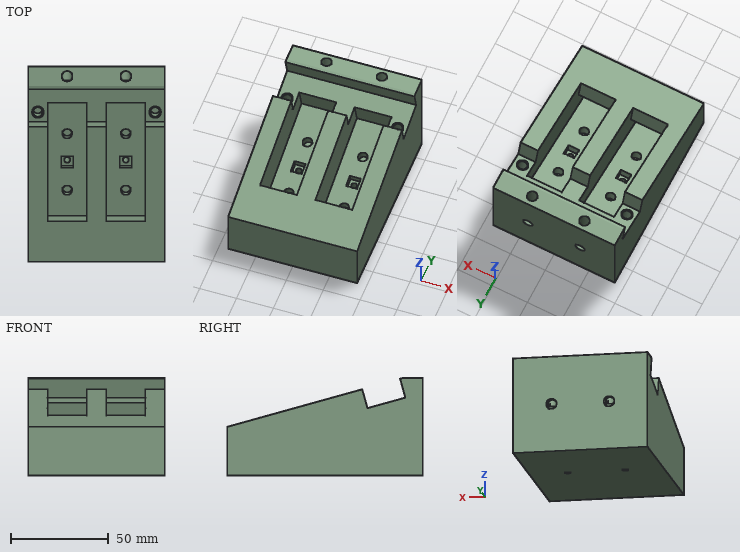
import cadquery as cq
import math

width = 70.0
wedge_length = 90.0
wall_thickness = 10.0
front_height = 25.0
wall_height = 50.02
block_length = wedge_length + wall_thickness

slope_angle = math.degrees(math.atan2(wall_height - front_height, wedge_length))
slope_length = math.hypot(wedge_length, wall_height - front_height)
slope_middle = slope_length / 2

cavity_spacing = 30.0
cavity_width = 20.0
cavity_length = 70.0
cavity_floor_depth = 23.0
opening_depth = 10.0
front_overhang = 10.0
cavity_rear = slope_middle + cavity_length / 2
opening_length = cavity_length - front_overhang
opening_middle = cavity_rear - opening_length / 2

notch_width = 20.0
notch_depth = 10.0
notch_middle = cavity_rear
notch_front = notch_middle - notch_width / 2

blind_hole_diameter = 5.0
blind_hole_depth = 5.0
blind_hole_spacing = 30.0
recess_size = 6.0
recess_depth = 4.0
wire_hole_diameter = 3.0

notch_hole_diameter = 5.0
notch_hole_mouth_diameter = 6.0
notch_hole_mouth_depth = 0.5
notch_hole_depth = 7.0
notch_hole_spacing = 60.0
notch_hole_setback = 5.0

wall_hole_diameter = 5.4
wall_hole_y = wedge_length + wall_thickness / 2
wall_outlet_diameter = 5.4
wall_outlet_z = front_height
wall_outlet_depth = 7.0
wall_drop_clearance = 0.5

cut_through = 60.0

slope = cq.Workplane("XY").transformed(
    offset=cq.Vector(width / 2, 0, front_height),
    rotate=cq.Vector(slope_angle, 0, 0),
)


def mirrored(spacing):
    """Offsets of a pair placed evenly about the middle of the width."""
    return (-spacing / 2, spacing / 2)


def slope_box(x, middle, size_x, size_along, top, bottom):
    """Box square to the slope, between two depths below it."""
    return (
        slope.workplane(offset=-bottom)
        .center(x, middle)
        .rect(size_x, size_along)
        .extrude(bottom - top)
    )


def slope_hole(x, along, diameter, top, bottom):
    """Cylinder square to the slope, between two depths below it."""
    return (
        slope.workplane(offset=-bottom)
        .center(x, along)
        .circle(diameter / 2)
        .extrude(bottom - top)
    )


def make_block():
    return (
        cq.Workplane("YZ")
        .moveTo(0, 0)
        .lineTo(block_length, 0)
        .lineTo(block_length, wall_height)
        .lineTo(wedge_length, wall_height)
        .lineTo(0, front_height)
        .close()
        .extrude(width)
    )


def cut_notch(body):
    return body.cut(slope_box(0, notch_middle, width, notch_width, -notch_depth, notch_depth))


def cut_cavity(body, x):
    opening = slope_box(x, opening_middle, cavity_width, opening_length, 0, cavity_floor_depth)
    cavity = slope_box(x, slope_middle, cavity_width, cavity_length, opening_depth, cavity_floor_depth)
    return body.cut(opening).cut(cavity)


def cut_cavity_floor_holes(body, x):
    floor = cavity_floor_depth
    for offset in mirrored(blind_hole_spacing):
        along = slope_middle + offset
        body = body.cut(slope_hole(x, along, blind_hole_diameter, floor, floor + blind_hole_depth))
    recess_floor = floor + recess_depth
    body = body.cut(slope_box(x, slope_middle, recess_size, recess_size, floor, recess_floor))
    return body.cut(slope_hole(x, slope_middle, wire_hole_diameter, recess_floor, cut_through))


def cut_notch_hole(body, x):
    along = notch_front + notch_hole_setback
    bottom = notch_depth + notch_hole_depth
    mouth_bottom = notch_depth + notch_hole_mouth_depth
    mouth = slope_hole(x, along, notch_hole_mouth_diameter, notch_depth, mouth_bottom)
    return body.cut(slope_hole(x, along, notch_hole_diameter, notch_depth, bottom)).cut(mouth)


def cut_wall_hole(body, x):
    hole_x = width / 2 + x
    drop_bottom = wall_outlet_z + wall_drop_clearance
    drop = (
        cq.Workplane("XY", origin=(hole_x, wall_hole_y, drop_bottom))
        .circle(wall_hole_diameter / 2)
        .extrude(wall_height - drop_bottom)
    )
    outlet = (
        cq.Workplane("XZ", origin=(hole_x, block_length, wall_outlet_z))
        .circle(wall_outlet_diameter / 2)
        .extrude(wall_outlet_depth)
    )
    return body.cut(drop).cut(outlet)


result = cut_notch(make_block())
for cavity_x in mirrored(cavity_spacing):
    result = cut_cavity(result, cavity_x)
    result = cut_cavity_floor_holes(result, cavity_x)
    result = cut_wall_hole(result, cavity_x)
for hole_x in mirrored(notch_hole_spacing):
    result = cut_notch_hole(result, hole_x)